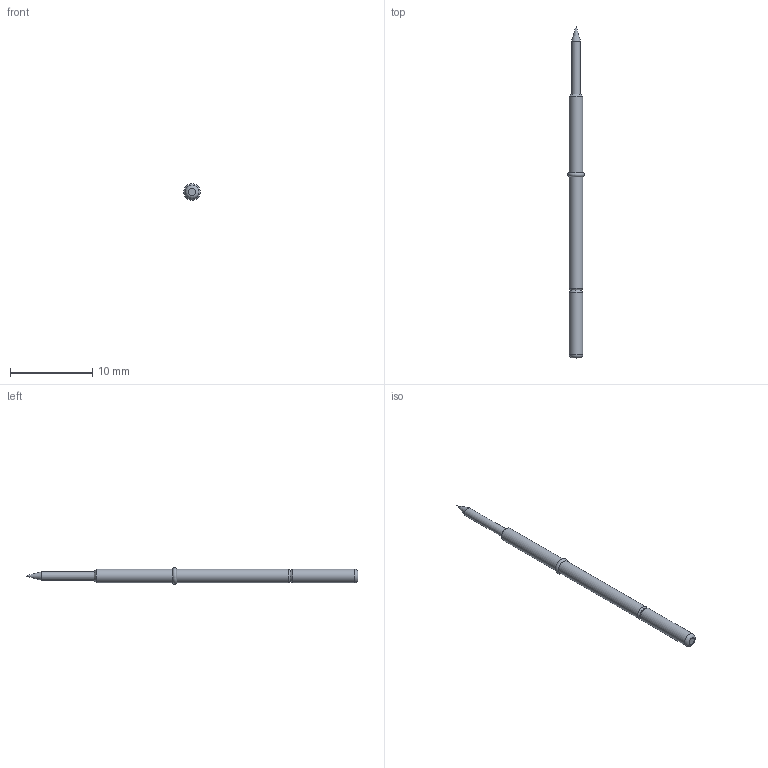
import cadquery as cq
import math

TOTAL_LENGTH = 40.3

TIP_LENGTH = 1.85
PLUNGER_RADIUS = 0.53
PLUNGER_EXPOSED = 8.3

BARREL_RADIUS = 0.835
MOUTH_RADIUS = 0.62
MOUTH_TAPER_LENGTH = 0.2
TAIL_ROUND = 0.4

RING_FROM_TIP = 18.05
RING_OUTER_RADIUS = 1.0
RING_BEAD_RADIUS = 0.25
GROOVE_FROM_TIP = 32.1
GROOVE_WIDTH = 0.5
GROOVE_DEPTH = 0.15

TIP_Y = RING_FROM_TIP
TAIL_Y = TIP_Y - TOTAL_LENGTH
MOUTH_Y = TIP_Y - PLUNGER_EXPOSED


def revolved(profile):
    """Turn a closed XY half-profile into a body around the Y axis."""
    return profile.close().revolve(360, (0, 0, 0), (0, 1, 0))


def make_plunger():
    """Straight pin with a sharp conical tip, seated just inside the barrel mouth."""
    return revolved(
        cq.Workplane("XY")
        .moveTo(0, TIP_Y)
        .lineTo(PLUNGER_RADIUS, TIP_Y - TIP_LENGTH)
        .lineTo(PLUNGER_RADIUS, MOUTH_Y - MOUTH_TAPER_LENGTH)
        .lineTo(0, MOUTH_Y - MOUTH_TAPER_LENGTH)
    )


def make_barrel():
    """Tube body with a tapered mouth, a V crimp groove and a rounded tail."""
    groove_y = TIP_Y - GROOVE_FROM_TIP
    diagonal = TAIL_ROUND * math.sqrt(0.5)
    round_x = BARREL_RADIUS - TAIL_ROUND
    round_y = TAIL_Y + TAIL_ROUND
    return revolved(
        cq.Workplane("XY")
        .moveTo(0, MOUTH_Y)
        .lineTo(MOUTH_RADIUS, MOUTH_Y)
        .lineTo(BARREL_RADIUS, MOUTH_Y - MOUTH_TAPER_LENGTH)
        .lineTo(BARREL_RADIUS, groove_y + GROOVE_WIDTH / 2)
        .lineTo(BARREL_RADIUS - GROOVE_DEPTH, groove_y)
        .lineTo(BARREL_RADIUS, groove_y - GROOVE_WIDTH / 2)
        .lineTo(BARREL_RADIUS, round_y)
        .threePointArc((round_x + diagonal, round_y - diagonal), (round_x, TAIL_Y))
        .lineTo(0, TAIL_Y)
    )


def make_press_ring():
    """Bead around the barrel that stops it in its receptacle."""
    bead_centre = RING_OUTER_RADIUS - RING_BEAD_RADIUS
    return revolved(
        cq.Workplane("XY")
        .moveTo(0, RING_BEAD_RADIUS)
        .lineTo(bead_centre, RING_BEAD_RADIUS)
        .threePointArc((RING_OUTER_RADIUS, 0), (bead_centre, -RING_BEAD_RADIUS))
        .lineTo(0, -RING_BEAD_RADIUS)
    )


result = make_barrel().union(make_plunger()).union(make_press_ring())